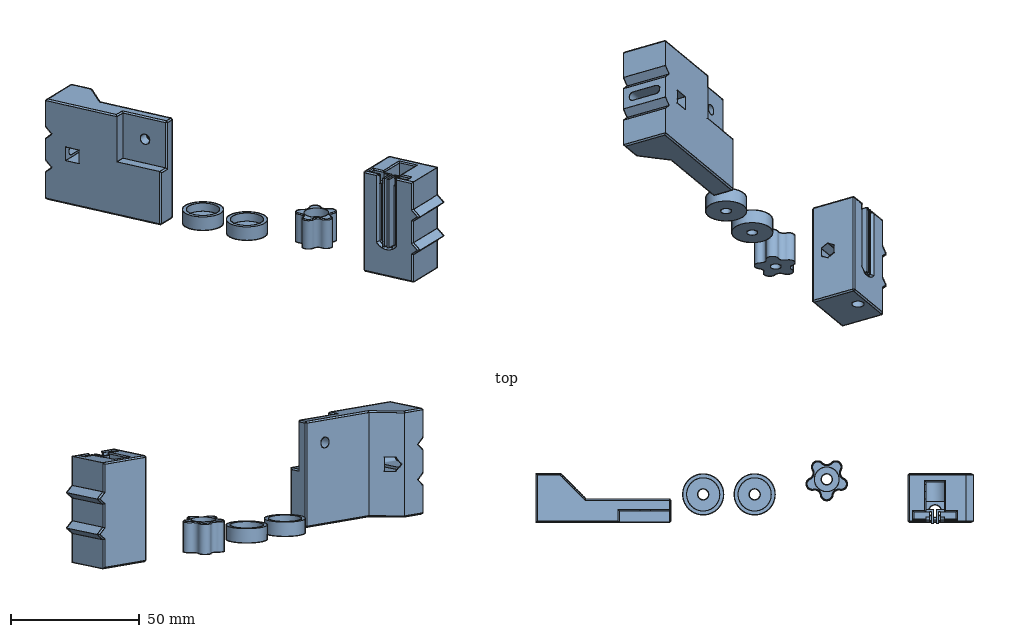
import cadquery as cq
import math

height = 42.0
body_depth = 19.0
edge_chamfer = 0.6
mid_z = height / 2
rib_spacing = 14.0
rib_centres = [mid_z - rib_spacing / 2, mid_z + rib_spacing / 2]
screw_d = 4.2
nut_width = 5.7

arm_length = 52.5
arm_thick_length = 9.7
plate_thickness = 9.2
groove_depth = 2.75
groove_half_height = 2.5
pad_left = 32.5
pad_bottom = 22.5
pad_hole_offset = 10.0
pad_depth = 4.5
slot_length = 13.7
slot_width = 3.7
nut_left = 9.1
nut_right = 15.2
nut_tip_y = 18.1

cup_centres_x = [65.0, 85.0]
cup_centre_y = 10.9
cup_d = 16.0
cup_height = 5.7
cup_bore_d = 12.9
cup_floor = 2.3

knob_x = 113.0
knob_back_y = 23.97
knob_height = 12.3
lobe_count = 5
lobe_circle_r = 5.9
lobe_r = 2.45
notch_bottom_r = 5.7
knob_chamfer = 0.4
knob_bore_r = 4.8
knob_bore_depth = 3.6

block_left = 144.57
block_width = 22.5
rib_half_height = 2.5
rib_length = 3.0
axis_offset = 10.5
axis_x = block_left + axis_offset
pocket_width = 7.2
pocket_back_y = 15.8
head_back_y = 8.1
head_front_y = 4.1
neck_width = 4.2
recess_depth = 2.2
recess_chamfer = 1.0
recess_bottom = 12.3
recess_bottom_r = 4.7
channel_bottom = 12.3
ledge_width = 16.4
ledge_front_y = 1.4
ledge_depth = 4.2
rim_chamfer = 0.5
drain_y = 4.4
drain_d = 4.8
side_nut_y = (head_back_y + pocket_back_y) / 2

strip_tip_y = -0.5
strip_thickness = 0.9
flange_thickness = 1.0
strip_gap = 1.0
strip_bottom = 12.4
strip_top = 41.0


def box(x0, x1, y0, y1, z0, z1):
    """Box between two opposite corners."""
    return cq.Workplane("XY").box(x1 - x0, y1 - y0, z1 - z0, centered=False).translate((x0, y0, z0))


def prism_along_y(points, y0, y1):
    """Closed XZ outline extruded from y0 to y1."""
    return cq.Workplane("XZ", origin=(0, y0, 0)).polyline(points).close().extrude(y0 - y1)


def make_arm():
    slope_run = body_depth - plate_thickness
    arm = (
        cq.Workplane("XY")
        .polyline([
            (0, 0),
            (arm_length, 0),
            (arm_length, plate_thickness),
            (arm_thick_length + slope_run, plate_thickness),
            (arm_thick_length, body_depth),
            (0, body_depth),
        ])
        .close()
        .extrude(height)
    )
    arm = arm.cut(box(pad_left, arm_length, 0, pad_depth, pad_bottom, height))
    arm = arm.faces("<Z or >Z or >X").edges().chamfer(edge_chamfer)
    hole = (
        cq.Workplane("XZ", origin=(pad_left + pad_hole_offset, 0, pad_bottom + pad_hole_offset))
        .circle(screw_d / 2)
        .extrude(-plate_thickness)
    )
    arm = arm.cut(hole)
    for z in rib_centres:
        outline = [(0, z - groove_half_height), (groove_depth, z), (0, z + groove_half_height)]
        arm = arm.cut(prism_along_y(outline, 0, body_depth))
    half = nut_width / 2
    shoulder_y = nut_tip_y - half * math.tan(math.radians(30))
    nut_pocket = (
        cq.Workplane("YZ", origin=(nut_left, 0, mid_z))
        .polyline([(0, -half), (shoulder_y, -half), (nut_tip_y, 0), (shoulder_y, half), (0, half)])
        .close()
        .extrude(nut_right - nut_left)
    )
    slot = (
        cq.Workplane("YZ", origin=(0, body_depth / 2, mid_z))
        .slot2D(slot_length, slot_width)
        .extrude(nut_left)
    )
    return arm.cut(nut_pocket).cut(slot)


def make_cup(x):
    return (
        cq.Workplane("XY", origin=(x, cup_centre_y, 0))
        .circle(cup_d / 2)
        .circle(screw_d / 2)
        .extrude(cup_height)
        .cut(
            cq.Workplane("XY", origin=(x, cup_centre_y, cup_floor))
            .circle(cup_bore_d / 2)
            .extrude(cup_height - cup_floor)
        )
    )


def polar(radius, angle):
    """XY point at a radius and an angle in degrees."""
    return (radius * math.cos(math.radians(angle)), radius * math.sin(math.radians(angle)))


def make_knob():
    pitch = 360 / lobe_count
    first_lobe = -90
    lobe_reach = lobe_circle_r * math.cos(math.radians(pitch / 2))
    notch_r = (
        (notch_bottom_r**2 + lobe_circle_r**2 - 2 * notch_bottom_r * lobe_reach - lobe_r**2)
        / (2 * (lobe_r + lobe_reach - notch_bottom_r))
    )
    lobe_share = lobe_r / (lobe_r + notch_r)
    lobe_x, lobe_y = polar(lobe_circle_r, 0)
    notch_x, notch_y = polar(notch_bottom_r + notch_r, pitch / 2)
    tangent_x = lobe_x + (notch_x - lobe_x) * lobe_share
    tangent_y = lobe_y + (notch_y - lobe_y) * lobe_share
    tangent_r = math.hypot(tangent_x, tangent_y)
    tangent_angle = math.degrees(math.atan2(tangent_y, tangent_x))

    outline = cq.Workplane("XY").moveTo(*polar(tangent_r, first_lobe - tangent_angle))
    for index in range(lobe_count):
        angle = first_lobe + index * pitch
        outline = outline.threePointArc(
            polar(lobe_circle_r + lobe_r, angle), polar(tangent_r, angle + tangent_angle)
        )
        outline = outline.threePointArc(
            polar(notch_bottom_r, angle + pitch / 2), polar(tangent_r, angle + pitch - tangent_angle)
        )
    knob = outline.close().extrude(knob_height).faces(">Z").edges().chamfer(knob_chamfer)
    bore = cq.Workplane("XY", origin=(0, 0, knob_height)).circle(knob_bore_r).extrude(-knob_bore_depth)
    hole = cq.Workplane("XY").circle(screw_d / 2).extrude(knob_height)
    back_lobe_y = polar(lobe_circle_r, first_lobe + 2 * pitch)[1] + lobe_r
    knob_y = knob_back_y - back_lobe_y
    return knob.cut(bore).cut(hole).translate((knob_x, knob_y, 0))


def round_bottom_outline(half_width, bottom, radius, y):
    """Upright slot outline with an arc for its floor, on the XZ plane at y."""
    arc_end_z = bottom + radius - math.sqrt(radius**2 - half_width**2)
    return (
        cq.Workplane("XZ", origin=(axis_x, y, 0))
        .moveTo(-half_width, height)
        .lineTo(-half_width, arc_end_z)
        .threePointArc((0, bottom), (half_width, arc_end_z))
        .lineTo(half_width, height)
        .close()
    )


def rim_bevel(width, y0, y1):
    """Cutter that bevels the top rim of a pocket centred on the block axis."""
    return (
        cq.Workplane("XY", origin=(axis_x, (y0 + y1) / 2, height))
        .rect(width + 2 * rim_chamfer, y1 - y0 + 2 * rim_chamfer)
        .extrude(-rim_chamfer, taper=45)
    )


def make_block():
    block_right = block_left + block_width
    outline = [(block_left, height), (block_left, 0), (block_right, 0)]
    for z in rib_centres:
        outline += [
            (block_right, z - rib_half_height),
            (block_right + rib_length, z),
            (block_right, z + rib_half_height),
        ]
    outline.append((block_right, height))
    block = prism_along_y(outline, 0, body_depth)
    block = block.faces("<X or <Y or >Y").edges().chamfer(edge_chamfer)
    half = pocket_width / 2
    trough = round_bottom_outline(half, recess_bottom, recess_bottom_r, head_back_y)
    block = block.cut(trough.extrude(head_back_y - pocket_back_y))
    channel = box(axis_x - half, axis_x + half, head_front_y, head_back_y, channel_bottom, height)
    block = block.cut(channel)
    neck = box(axis_x - neck_width / 2, axis_x + neck_width / 2, 0, head_front_y, channel_bottom, height)
    block = block.cut(neck)
    recess = round_bottom_outline(half, recess_bottom, recess_bottom_r, 0)
    block = block.cut(recess.extrude(-recess_depth))
    lip = round_bottom_outline(half + recess_chamfer, recess_bottom - recess_chamfer,
                               recess_bottom_r + recess_chamfer, 0)
    block = block.cut(lip.extrude(-recess_chamfer, taper=45))
    ledge = box(axis_x - ledge_width / 2, axis_x + ledge_width / 2,
                ledge_front_y, head_front_y, height - ledge_depth, height)
    block = block.cut(ledge)
    block = block.cut(rim_bevel(pocket_width, head_front_y, pocket_back_y))
    block = block.cut(rim_bevel(ledge_width, ledge_front_y, head_front_y))
    drain = cq.Workplane("XY", origin=(axis_x, drain_y, 0)).circle(drain_d / 2).extrude(channel_bottom)
    nut_corner_d = nut_width / math.cos(math.radians(30))
    side_nut = (
        cq.Workplane("YZ", origin=(block_left, side_nut_y, mid_z))
        .transformed(rotate=(0, 0, 90))
        .polygon(6, nut_corner_d)
        .extrude(axis_x - block_left)
    )
    return block.cut(drain).cut(side_nut)


def make_strip(side):
    """L-shaped strip; side is -1 for the left one and +1 for the right one."""
    inner = strip_gap / 2
    leg_outer = inner + strip_thickness
    flange_outer = pocket_width / 2
    back = head_front_y + flange_thickness
    points = [
        (inner, strip_tip_y),
        (leg_outer, strip_tip_y),
        (leg_outer, head_front_y),
        (flange_outer, head_front_y),
        (flange_outer, back),
        (inner, back),
    ]
    return (
        cq.Workplane("XY", origin=(axis_x, 0, strip_bottom))
        .polyline([(side * x, y) for x, y in points])
        .close()
        .extrude(strip_top - strip_bottom)
    )


arm = make_arm()
cups = [make_cup(x) for x in cup_centres_x]
knob = make_knob()
block = make_block()
strips = [make_strip(side) for side in (-1, 1)]

result = cq.Compound.makeCompound([
    arm.val(),
    *[cup.val() for cup in cups],
    knob.val(),
    block.val(),
    *[strip.val() for strip in strips],
])